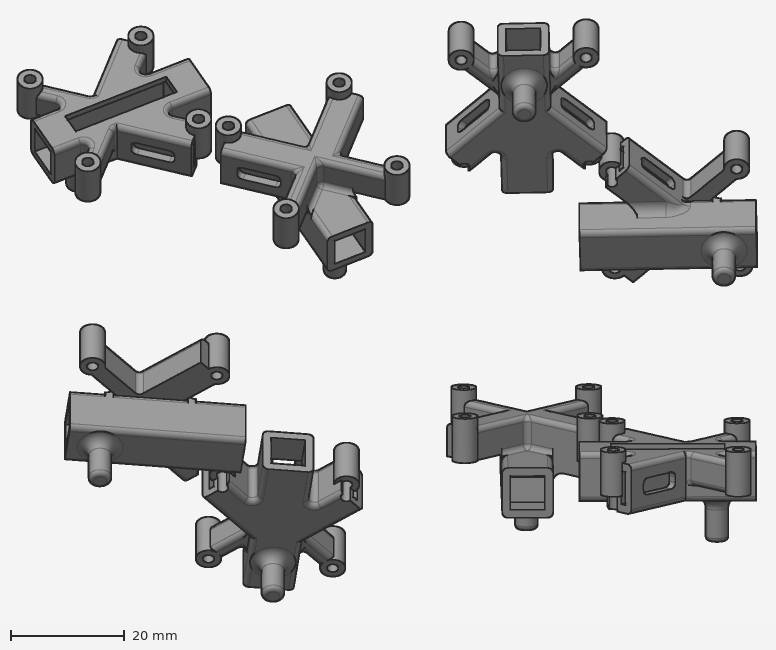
import cadquery as cq
import math

hub_spacing = 36.5
boss_pitch = 31.0
boss_diameter = 4.5
boss_hole_diameter = 2.0
boss_height = 8.0
boss_count = 4
arm_reach = boss_pitch / 2
arm_top = -2.0
narrow_width = 3.0
wide_width = 6.0
wide_height = 9.0
arm_bottom = arm_top - wide_height
narrow_side = narrow_width / 2
wide_side = narrow_side - wide_width
edge_radius = 1.0
valley_radius = 1.0
wall = 1.5

tube_side = 9.0
tube_length = 31.0
tube_angle = 45
tube_shift = 0.9
bore_side = 6.05
chamber_side = 6.5
chamber_length = 20.0
window_width = 4.0
level_tube_top = arm_top
low_tube_top = -boss_height

skirt_radius = 2.0

pin_diameter = 4.0
pin_length = 8.0
pin_flare_radius = 2.0
pin_tip_radius = 0.9
level_pin_place = -5.2
low_pin_place = -6.0

pocket_thickness = 1.0
pocket_height = 6.0
pocket_depth = 12.0
side_window_length = 8.0
side_window_height = 3.0
side_window_radius = 1.0
side_window_setback = 3.0
arm_middle = (arm_top + arm_bottom) / 2

tolerance = 0.01


def block(x_min, x_max, y_min, y_max, z_min, z_max):
    size = (x_max - x_min, y_max - y_min, z_max - z_min)
    return cq.Workplane("XY").box(*size, centered=False).translate((x_min, y_min, z_min))


def reflected(shape):
    """Reflection of a shape in the vertical plane Y = X."""
    return shape.mirror("XZ").rotate((0, 0, 0), (0, 0, 1), 90)


def both_sides(shape):
    return shape.union(reflected(shape))


def tube_bar(length, width, height, middle_z):
    """Box centred on the diagonal tube axis."""
    bar = cq.Workplane("XY").box(length, width, height)
    return bar.rotate((0, 0, 0), (0, 0, 1), tube_angle).translate((tube_shift, tube_shift, middle_z))


def wide_arm(bottom):
    return block(-narrow_side, arm_reach, wide_side, narrow_side, bottom, arm_top)


def narrow_arm():
    return block(-arm_reach, narrow_side, -narrow_side, narrow_side, -boss_height, arm_top)


def upright_edges(shape, low_limit, high_limit):
    """Vertical edges whose larger plan coordinate lies between two limits."""
    found = []
    for edge in shape.edges("|Z").vals():
        middle = edge.Center()
        if low_limit < max(abs(middle.x), abs(middle.y)) < high_limit:
            found.append(edge)
    return found


def rim_edges(shape, level):
    """Edges of the level faces at one height, except those across the ends of the arms and the tube."""
    found = []
    for edge in shape.faces("|Z").edges().vals():
        middle = edge.Center()
        along = (middle.x + middle.y - 2 * tube_shift) / math.sqrt(2)
        at_end = max(abs(middle.x), abs(middle.y)) > arm_reach - tolerance
        at_end = at_end or abs(along) > tube_length / 2 - tolerance
        if abs(middle.z - level) < tolerance and not at_end:
            found.append(edge)
    return found


def fillet_edges(shape, edges, radius):
    return shape.newObject(edges).fillet(radius)


def level_frame():
    """Arms with the tube at their own height, all outer edges rounded."""
    narrow = narrow_arm().edges("|X and <Z").fillet(edge_radius)
    tube = tube_bar(tube_length, tube_side, tube_side, level_tube_top - tube_side / 2)
    frame = both_sides(wide_arm(arm_bottom)).union(both_sides(narrow)).union(tube).clean()
    hub_reach = tube_side / 2 + tube_shift
    frame = fillet_edges(frame, upright_edges(frame, hub_reach, tube_side), valley_radius)

    valley_side = narrow_side + valley_radius
    valley_base = -boss_height - valley_radius
    under_arm = block(-arm_reach, wide_side, -valley_side, narrow_side, valley_base, -boss_height)
    frame = frame.cut(both_sides(under_arm).cut(tube))

    for level in (arm_top, arm_bottom):
        frame = fillet_edges(frame, rim_edges(frame, level), edge_radius)
    return frame


def crossed_arms():
    """Arms alone, one wide arm deeper than the rest, with rounded hub corners and top rim."""
    deep = wide_arm(arm_bottom).edges("|X and <Z").fillet(edge_radius)
    shallow = reflected(wide_arm(-boss_height))
    arms = deep.union(shallow).union(both_sides(narrow_arm())).clean()
    arms = fillet_edges(arms, rim_edges(arms, arm_top), edge_radius)
    return fillet_edges(arms, upright_edges(arms, 0, tube_side), valley_radius)


def hub_cove():
    """Concave fillet between two arm sides and the top of the low tube, cut off at the tube sides."""
    reach = narrow_side + tube_side
    cove_base = low_tube_top - edge_radius
    cove_top = low_tube_top + valley_radius
    toe = narrow_side + valley_radius
    plan = (narrow_side, reach, narrow_side, reach)
    hollow = block(*plan, low_tube_top, cove_top + valley_radius)
    rounded = []
    for edge in hollow.edges().vals():
        middle = edge.Center()
        beside_arm = min(middle.x, middle.y) < narrow_side + tolerance
        if beside_arm and middle.z < cove_top + tolerance:
            rounded.append(edge)
    hollow = fillet_edges(hollow, rounded, valley_radius)
    beyond_toe = block(toe, reach, toe, reach, cove_base, cove_top)
    cove = block(*plan, cove_base, cove_top).cut(hollow).cut(beyond_toe)
    return cove.intersect(tube_bar(tube_length, tube_side, tube_length, low_tube_top))


def side_skirt():
    """Large concave fillet where the deep arm runs into the side of the low tube."""
    arm = wide_arm(arm_bottom).edges("|X and <Z and <Y").fillet(edge_radius)
    wall_block = tube_bar(tube_length, tube_side, tube_length, low_tube_top)
    joined = arm.union(wall_block).clean()
    face_offset = tube_side / math.sqrt(2)
    seam = []
    for edge in joined.edges().vals():
        middle = edge.Center()
        on_face = abs(middle.x - middle.y - face_offset) < tolerance
        if on_face and abs(middle.z - arm_bottom) < tolerance:
            seam.append(edge)
    skirt = fillet_edges(joined, seam, skirt_radius).cut(wall_block)
    room = block(0, arm_reach, wide_side - skirt_radius, narrow_side,
                 arm_bottom - skirt_radius, low_tube_top - edge_radius)
    return skirt.intersect(room)


def low_frame():
    """Arms crossing over a tube that hangs below them."""
    tube = tube_bar(tube_length, tube_side, tube_side, low_tube_top - tube_side / 2)
    long_edges = [e for e in tube.edges().vals() if abs(e.Length() - tube_length) < tolerance]
    tube = fillet_edges(tube, long_edges, edge_radius)
    frame = crossed_arms().union(tube).union(side_skirt())
    cove = hub_cove()
    return frame.union(cove).union(cove.rotate((0, 0, 0), (0, 0, 1), 180))


def posts(diameter, depth):
    """Upright cylinders hanging from Z = 0 at the four arm ends."""
    return cq.Workplane("XY").polarArray(arm_reach, 0, 360, boss_count).circle(diameter / 2).extrude(-depth)


def pin(place, base):
    """Pin with a rounded tip and a flared root, turned about its own axis."""
    radius = pin_diameter / 2
    tip = base - pin_length
    profile = (
        cq.Workplane("XZ")
        .moveTo(0, base + edge_radius)
        .lineTo(radius + pin_flare_radius, base + edge_radius)
        .lineTo(radius + pin_flare_radius, base)
        .radiusArc((radius, base - pin_flare_radius), -pin_flare_radius)
        .lineTo(radius, tip + pin_tip_radius)
        .radiusArc((radius - pin_tip_radius, tip), pin_tip_radius)
        .lineTo(0, tip)
        .close()
    )
    return profile.revolve(360, (0, 0, 0), (0, 1, 0)).translate((place, place, 0))


def tube_hollow(top):
    """Square bore through the tube with a slightly larger chamber in its middle."""
    middle = top - tube_side / 2
    bore = tube_bar(tube_length, bore_side, bore_side, middle)
    return bore.union(tube_bar(chamber_length, chamber_side, chamber_side, middle))


def tube_window():
    """Slot through the tube roof, as long as the chamber below it."""
    depth = tube_side / 2
    return tube_bar(chamber_length, window_width, depth, level_tube_top - depth / 2)


def arm_pocket():
    """Thin end pocket in a wide arm, open to a rounded window in the arm side."""
    inner_face = wide_side + wall + pocket_thickness
    pocket = block(arm_reach - pocket_depth, arm_reach, wide_side + wall, inner_face,
                   arm_middle - pocket_height / 2, arm_middle + pocket_height / 2)
    window_end = arm_reach - side_window_setback
    window = block(window_end - side_window_length, window_end, wide_side, inner_face,
                   arm_middle - side_window_height / 2, arm_middle + side_window_height / 2)
    window = window.edges("|Y").fillet(side_window_radius)
    return pocket.union(window)


def finish(frame, pockets, tube_top, pin_place):
    """Add the bosses and the pin to a frame, then cut its holes, pockets and bore."""
    holder = frame.union(posts(boss_diameter, boss_height)).union(pin(pin_place, tube_top - tube_side))
    return holder.cut(posts(boss_hole_diameter, -arm_bottom)).cut(pockets).cut(tube_hollow(tube_top))


def level_holder():
    """Holder with the tube level with the arms and a window in the tube roof."""
    pockets = both_sides(arm_pocket())
    holder = finish(level_frame(), pockets, level_tube_top, level_pin_place).cut(tube_window())
    return holder.translate((-hub_spacing / 2, 0, 0))


def low_holder():
    """Mirror-handed holder with the tube below the arms."""
    holder = finish(low_frame(), arm_pocket(), low_tube_top, low_pin_place).mirror("YZ")
    return holder.translate((hub_spacing / 2, 0, 0))


level = level_holder()
low = low_holder()
result = cq.Compound.makeCompound([level.val(), low.val()])